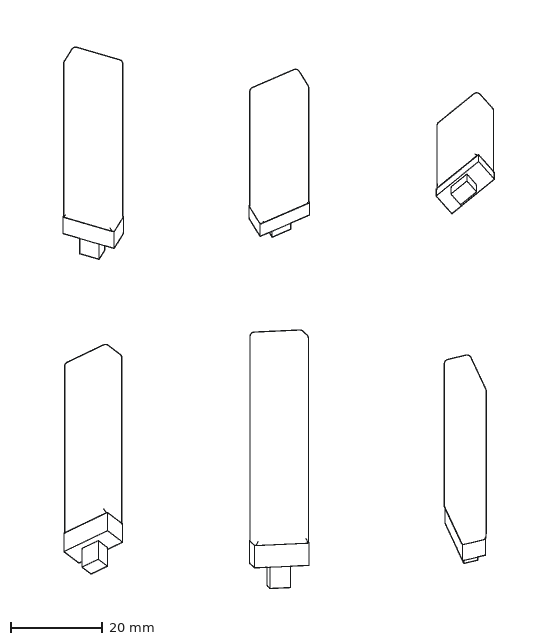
import cadquery as cq
import math

total_height = 57.1
body_width = 12.2
body_depth = 6.2
edge_radius = 1.0

tip_width = 4.6
tip_depth = 3.25
tip_height = 5.15
tip_shift_y = -0.5
base_width = 12.3
base_depth = 5.35
base_height = 5.0
base_top = tip_height + base_height

taper_height = 1.7
taper_inset = 0.35
taper_radius = (taper_height**2 + taper_inset**2) / (2 * taper_inset)


def block(width, depth, height, bottom):
    """Box centred in X and Y, standing at the given height."""
    return cq.Workplane("XY").workplane(offset=bottom).rect(width, depth).extrude(height)


def taper_cutter(side):
    """Wedge outside the taper arc; side is +1 or -1 along Y."""
    face_y = body_depth / 2
    half_angle = math.asin(taper_height / taper_radius) / 2
    mid_y = face_y - taper_radius * (1 - math.cos(half_angle))
    mid_z = base_top + taper_height - taper_radius * math.sin(half_angle)
    return (
        cq.Workplane("YZ")
        .moveTo(side * face_y, base_top + taper_height)
        .threePointArc((side * mid_y, mid_z), (side * (face_y - taper_inset), base_top))
        .lineTo(side * face_y, base_top)
        .close()
        .extrude(body_width / 2, both=True)
    )


body = block(body_width, body_depth, total_height - base_top, base_top)
body = body.edges("|Z or >Z").fillet(edge_radius)
for side in (-1, 1):
    body = body.cut(taper_cutter(side))

base = block(base_width, base_depth, base_height, tip_height)
tip = block(tip_width, tip_depth, tip_height, 0).translate((0, tip_shift_y, 0))

result = body.union(base).union(tip)